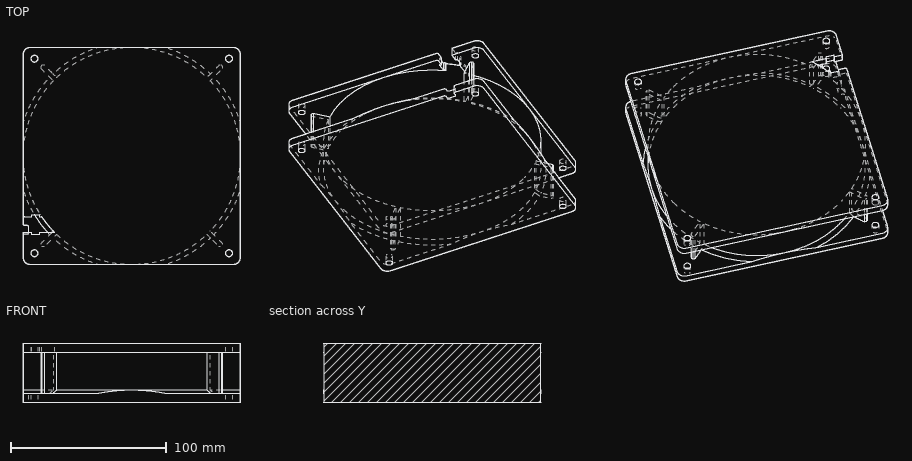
import cadquery as cq
import math

side = 139.7
height = 38.0
plate_thickness = 5.9
corner_radius = 4.75

body_radius = side / 2
foot_radius = 73.1
foot_top = 8.0

rib_thickness = 3.0
rib_reach = 82.0
rib_chamfer = 1.0

hole_offset = 62.5
hole_diameter = 4.3

opening_y_min = -49.3
opening_y_max = -39.1
opening_mouth_radius = 1.15
recess_x_min = -64.4
recess_x_max = -59.2
recess_depth = 1.3

notch_y = -47.6
notch_width = 5.9
notch_depth = 3.5
notch_radius = 1.0

edge_x = -side / 2
upper_plate_bottom = height - plate_thickness
arc_mid_ratio = 1 - math.sqrt(0.5)


def square_plate(bottom):
    plate = cq.Workplane("XY", origin=(0, 0, bottom)).rect(side, side).extrude(plate_thickness)
    return plate.edges("|Z").fillet(corner_radius)


def round_body():
    return cq.Workplane("XY").circle(body_radius).extrude(height)


def cone_foot():
    """Cone from the lower plate up to the body, trimmed flush with the plate sides."""
    cone = (
        cq.Workplane("XZ")
        .moveTo(0, plate_thickness)
        .lineTo(foot_radius, plate_thickness)
        .lineTo(body_radius, foot_top)
        .lineTo(0, foot_top)
        .close()
        .revolve(360, (0, 0, 0), (0, 1, 0))
    )
    return cone.intersect(cq.Workplane("XY").rect(side, side).extrude(height))


def diagonal_ribs():
    """Two crossing bars between the plates, whose ends form the four corner ribs."""
    ribs = cq.Workplane("XY")
    for angle in (45, 135):
        bar = cq.Workplane("XY").rect(2 * rib_reach, rib_thickness).extrude(upper_plate_bottom)
        bar = bar.edges("|Z").chamfer(rib_chamfer)
        ribs = ribs.add(bar.rotate((0, 0, 0), (0, 0, 1), angle))
    return ribs.combine()


def mounting_holes():
    spacing = 2 * hole_offset
    centers = cq.Workplane("XY").rect(spacing, spacing, forConstruction=True).vertices()
    return centers.circle(hole_diameter / 2).extrude(height)


def upper_opening():
    """Opening with a side recess in each wall, ending at the round body."""
    center_y = (opening_y_min + opening_y_max) / 2
    r = opening_mouth_radius
    arc_mid = r * arc_mid_ratio
    channel = (
        cq.Workplane("XY", origin=(0, 0, upper_plate_bottom))
        .moveTo(edge_x, opening_y_min)
        .lineTo(0, opening_y_min)
        .lineTo(0, opening_y_max)
        .lineTo(edge_x + r, opening_y_max)
        .threePointArc((edge_x + arc_mid, opening_y_max + arc_mid), (edge_x, opening_y_max + r))
        .close()
        .extrude(plate_thickness)
    )
    recess = (
        cq.Workplane("XY", origin=(0, 0, upper_plate_bottom))
        .center((recess_x_min + recess_x_max) / 2, center_y)
        .rect(recess_x_max - recess_x_min, opening_y_max - opening_y_min + 2 * recess_depth)
        .extrude(plate_thickness)
    )
    return channel.union(recess).cut(round_body())


def lower_notch():
    """Notch with rounded inner corners and a rounded mouth."""
    r = notch_radius
    half = notch_width / 2
    inner_x = edge_x + notch_depth
    arc_mid = r * arc_mid_ratio
    return (
        cq.Workplane("XY", origin=(0, notch_y, 0))
        .moveTo(edge_x, -half - r)
        .threePointArc((edge_x + arc_mid, -half - arc_mid), (edge_x + r, -half))
        .lineTo(inner_x - r, -half)
        .threePointArc((inner_x - arc_mid, -half + arc_mid), (inner_x, -half + r))
        .lineTo(inner_x, half - r)
        .threePointArc((inner_x - arc_mid, half - arc_mid), (inner_x - r, half))
        .lineTo(edge_x + r, half)
        .threePointArc((edge_x + arc_mid, half + arc_mid), (edge_x, half + r))
        .close()
        .extrude(plate_thickness)
    )


lower_plate = square_plate(0).cut(lower_notch())
upper_plate = square_plate(upper_plate_bottom).cut(upper_opening())
result = (
    lower_plate
    .union(upper_plate)
    .union(round_body())
    .union(cone_foot())
    .union(diagonal_ribs())
    .cut(mounting_holes())
)